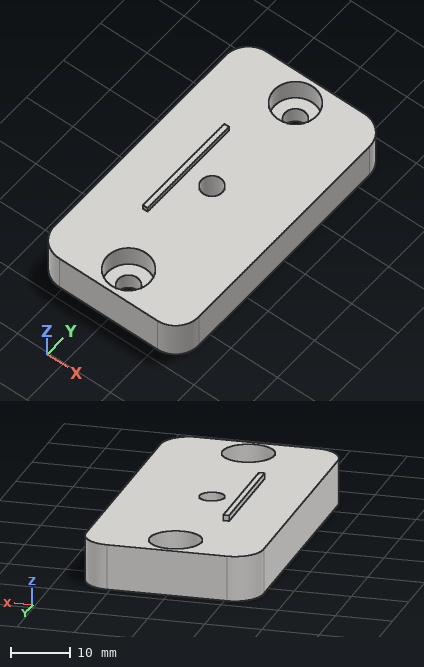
import cadquery as cq

plate_width = 31.0
plate_length = 56.0
total_height = 9.0
corner_radius = 5.0

rib_height = 1.0
rib_width = 1.0
rib_length = 22.0
rib_center_x = -5.6

hole_diameter = 4.35
hole_spacing = 22.5
counterbore_diameter = 9.0
counterbore_depth = 4.5

plate_thickness = total_height - rib_height


def make_plate():
    """Flat plate with rounded vertical corners, its base on Z = 0."""
    plate = cq.Workplane("XY").box(
        plate_width, plate_length, plate_thickness, centered=(True, True, False)
    )
    return plate.edges("|Z").fillet(corner_radius)


def cut_holes(plate):
    """Plain through hole in the middle and a counterbored hole near each end."""
    plate = plate.faces(">Z").workplane(origin=(0, 0, 0)).hole(hole_diameter)
    end_centers = [(0, -hole_spacing), (0, hole_spacing)]
    return (
        plate.faces(">Z")
        .workplane(origin=(0, 0, 0))
        .pushPoints(end_centers)
        .cboreHole(hole_diameter, counterbore_diameter, counterbore_depth)
    )


def make_rib():
    """Thin bar standing on the top face, parallel to the long sides."""
    return (
        cq.Workplane("XY", origin=(rib_center_x, 0, plate_thickness))
        .rect(rib_width, rib_length)
        .extrude(rib_height)
    )


result = cut_holes(make_plate()).union(make_rib())